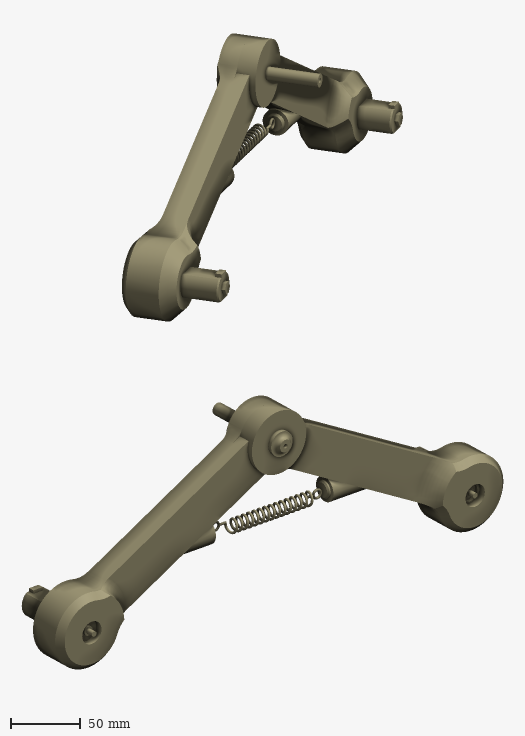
import cadquery as cq
import math

overall_length = 414.0
overall_height = 150.5
head_radius = 60.0 / 2
hub_radius = 50.0 / 2
half_span = overall_length / 2 - head_radius
pivot_drop = overall_height - hub_radius - head_radius
arm_length = math.hypot(half_span, pivot_drop)
arm_slope = math.degrees(math.atan2(pivot_drop, half_span))

arm_width = 34.8
arm_half_thickness = 10.0
hub_half_thickness = 15.0
head_half_thickness = 40.0 / 2
outline_fillet = 20.0
cove_radius = 10.0
wide_cove_radius = 20.0
outline_margin = 2.0
head_front_chamfer = 5.0
head_back_chamfer = 10.0

spring_drop = 60.0
anchor_diameter = 20.0
anchor_face_y = 54.2
anchor_root_y = 95.0
boss_diameter = 14.0
boss_length = 2.5
boss_chamfer = 1.2

shaft_diameter = 24.0
shaft_across_flats = 18.0
shaft_end_x = 46.5
shaft_end_chamfer = 1.0
shaft_shoulder_x = -5.0
neck_diameter = 14.0
recess_diameter = 18.0
recess_depth = 6.2
neck_end_x = -head_half_thickness + recess_depth
hex_diameter = 10.0
hex_length = 3.0
collar_diameter = 7.5
collar_length = 2.5
stub_diameter = 4.0
stub_end_x = -22.8
key_length = 5.0
key_width = 8.5
key_top_z = 11.5
near_shaft_shift = 2.5

pin_diameter = 10.0
pin_end_x = 55.0
pin_bore_diameter = 3.5
flange_diameter = 20.0
flange_thickness = 3.5
pin_head_height = 7.5

wire_diameter = 2.0
coil_radius = 5.0
coil_pitch = 5.0
coil_tops = 15
eye_radius = 3.5
eye_offset_z = 1.5
eye_gap = 0.5


def cylinder_x(diameter, x_start, x_end, y=0.0):
    """Round bar along X, centred at (y, z = 0)."""
    return cq.Workplane("YZ", origin=(x_start, y, 0)).circle(diameter / 2).extrude(x_end - x_start)


def outline_arc_center(round_radius):
    """Centre, seen from a round end, of the arc that blends it into the upper arm edge."""
    arc_center_z = arm_width / 2 + outline_fillet
    arc_center_y = math.sqrt((round_radius + outline_fillet) ** 2 - arc_center_z ** 2)
    return arc_center_y, arc_center_z


def plan_outline(center_y, toward, round_radius, web_end):
    """Outline in the YZ plane of a round end at center_y and the arm leaving it in direction `toward`.

    Arcs tangent to both lead from the round end into the arm edges; the arm is cut off at web_end.
    """
    half_width = arm_width / 2
    arc_center_y, arc_center_z = outline_arc_center(round_radius)
    reach = round_radius / (round_radius + outline_fillet)
    bend = math.atan2(arc_center_z, arc_center_y) / 2 + math.pi / 4
    mid_y = arc_center_y - outline_fillet * math.cos(bend)
    mid_z = arc_center_z - outline_fillet * math.sin(bend)

    def at(along, z):
        return (center_y + toward * along, z)

    return (
        cq.Workplane("YZ")
        .moveTo(*at(reach * arc_center_y, reach * arc_center_z))
        .threePointArc(at(mid_y, mid_z), at(arc_center_y, half_width))
        .lineTo(*at(web_end, half_width))
        .lineTo(*at(web_end, -half_width))
        .lineTo(*at(arc_center_y, -half_width))
        .threePointArc(at(mid_y, -mid_z), at(reach * arc_center_y, -reach * arc_center_z))
        .threePointArc(at(-round_radius, 0), at(reach * arc_center_y, reach * arc_center_z))
        .close()
    )


def cove_run(radius, step):
    """Distance along the arm covered by a cove tangent to the arm face and rising by step."""
    return math.sqrt(radius ** 2 - (radius - step) ** 2)


def cove_cutter(center_y, round_radius, face, half_thickness, radius, extent):
    """Ring that clears the arm face on the `face` side of X around a round end and leaves a cove."""
    step = half_thickness - arm_half_thickness
    run = cove_run(radius, step)
    half_turn = math.asin(run / radius) / 2
    cove_end = round_radius + run
    cove_mid_y = cove_end - radius * math.sin(half_turn)
    cove_mid_x = arm_half_thickness + radius * (1 - math.cos(half_turn))
    return (
        cq.Workplane("XY", origin=(0, center_y, 0))
        .moveTo(face * half_thickness, round_radius)
        .threePointArc((face * cove_mid_x, cove_mid_y), (face * arm_half_thickness, cove_end))
        .lineTo(face * arm_half_thickness, extent)
        .lineTo(face * half_thickness, extent)
        .close()
        .revolve(360, (0, 0, 0), (1, 0, 0))
    )


def make_head(front_cove_radius):
    """Chamfered round end that carries the shaft, with its blends into the arm."""
    cove_end = head_radius + cove_run(wide_cove_radius, head_half_thickness - arm_half_thickness)
    web_end = cove_end + head_back_chamfer + outline_margin
    head = plan_outline(arm_length, -1, head_radius, web_end).extrude(head_half_thickness, both=True)
    head = head.faces("<X").chamfer(head_front_chamfer)
    head = head.faces(">X").chamfer(head_back_chamfer)
    for face, radius in ((-1, front_cove_radius), (1, wide_cove_radius)):
        head = head.cut(
            cove_cutter(arm_length, head_radius, face, head_half_thickness, radius, 2 * web_end)
        )
    return head


def make_hub(hub_side):
    """Half of the pivot joint, with its blends into the arm."""
    arc_center_y = outline_arc_center(hub_radius)[0]
    web_end = arc_center_y + cove_radius + outline_margin
    hub = plan_outline(0, 1, hub_radius, web_end).extrude(hub_side * hub_half_thickness)
    return hub.cut(cove_cutter(0, hub_radius, hub_side, hub_half_thickness, cove_radius, 2 * web_end))


def spring_anchor():
    """Horizontal barrel with a small boss facing the spring, for the +Y arm."""
    barrel = (
        cq.Workplane("XZ", origin=(0, anchor_face_y, -spring_drop))
        .circle(anchor_diameter / 2)
        .extrude(anchor_face_y - anchor_root_y)
    )
    boss = (
        cq.Workplane("XZ", origin=(0, anchor_face_y, -spring_drop))
        .circle(boss_diameter / 2)
        .extrude(boss_length)
        .faces("<Y")
        .chamfer(boss_chamfer)
    )
    return barrel.union(boss)


def shaft_body(x_start, x_end):
    """Round bar along X with flats at its top and bottom."""
    flats = cq.Workplane("XY").box(2 * (x_end - x_start), shaft_diameter, shaft_across_flats)
    flats = flats.translate((x_start, 0, 0))
    return cylinder_x(shaft_diameter, x_start, x_end).intersect(flats)


def make_shaft():
    """Shaft along the X axis: neck and stub toward -X, keyed end with a hexagon toward +X."""
    blank = cylinder_x(shaft_diameter, shaft_shoulder_x, shaft_end_x).faces(">X").chamfer(shaft_end_chamfer)
    body = shaft_body(shaft_shoulder_x, shaft_end_x).intersect(blank)
    key_height = key_top_z - shaft_across_flats / 2
    key = (
        cq.Workplane("XY", origin=(shaft_end_x - key_length / 2, 0, shaft_across_flats / 2))
        .rect(key_length, key_width)
        .extrude(key_height)
    )
    neck = cylinder_x(neck_diameter, neck_end_x, shaft_shoulder_x)
    stub = cylinder_x(stub_diameter, stub_end_x, neck_end_x)
    shaft = body.union(key).union(neck).union(stub)
    hexagon = cq.Workplane("YZ", origin=(shaft_end_x, 0, 0)).polygon(6, hex_diameter).extrude(hex_length)
    collar = cylinder_x(collar_diameter, neck_end_x - collar_length, neck_end_x)
    return shaft.union(hexagon).union(collar)


def make_arm(side, hub_side, front_cove_radius, shaft_shift):
    """Arm toward side * Y whose hub fills the hub_side * X half of the pivot joint."""
    hub_start = min(0, hub_side * hub_half_thickness)
    hub_end = max(0, hub_side * hub_half_thickness)

    bar = cq.Workplane("XY").box(2 * arm_half_thickness, arm_length, arm_width)
    bar = bar.translate((0, arm_length / 2, 0))
    bar = bar.cut(cylinder_x(2 * hub_radius, -head_half_thickness, head_half_thickness))
    arm = bar.union(make_hub(hub_side)).union(make_head(front_cove_radius))
    arm = arm.rotate((0, 0, 0), (1, 0, 0), -arm_slope)
    arm = arm.union(spring_anchor())

    shoulder_x = shaft_shoulder_x + shaft_shift
    seat = shaft_body(shoulder_x, head_half_thickness)
    neck_hole = cylinder_x(neck_diameter, -head_half_thickness, shoulder_x)
    recess = cylinder_x(recess_diameter, -head_half_thickness, neck_end_x)
    head_hole = seat.union(neck_hole).union(recess).translate((0, half_span, -pivot_drop))
    arm = arm.cut(cylinder_x(pin_diameter, hub_start, hub_end)).cut(head_hole)
    return arm if side > 0 else arm.mirror("XZ")


def make_pivot_pin():
    """Hollow pin with a flange against the hub and a head that flares into the flange."""
    seat_x = -hub_half_thickness
    flange_x = seat_x - flange_thickness
    head_x = seat_x - pin_head_height
    flare = pin_head_height - flange_thickness
    pin_radius = pin_diameter / 2
    flare_mid = flare * (1 - math.sqrt(0.5))
    return (
        cq.Workplane("XY")
        .moveTo(head_x, pin_bore_diameter / 2)
        .lineTo(head_x, pin_radius)
        .threePointArc((flange_x - flare_mid, pin_radius + flare_mid), (flange_x, pin_radius + flare))
        .lineTo(flange_x, flange_diameter / 2)
        .lineTo(seat_x, flange_diameter / 2)
        .lineTo(seat_x, pin_radius)
        .lineTo(pin_end_x, pin_radius)
        .lineTo(pin_end_x, pin_bore_diameter / 2)
        .close()
        .revolve(360, (0, 0, 0), (1, 0, 0))
    )


def make_spring():
    """Tension spring along Y: a left-hand coil with a straight lead and a round eye at each end."""
    lead_angle = math.asin(eye_offset_z / coil_radius)
    turns = coil_tops + lead_angle / math.pi
    coil_length = turns * coil_pitch
    coil_axis_x = -coil_radius * math.cos(lead_angle)
    wire_radius = wire_diameter / 2

    helix = cq.Wire.makeHelix(coil_pitch, coil_length, coil_radius, lefthand=True)
    coil = cq.Workplane("XZ").center(coil_radius, 0).circle(wire_radius).sweep(helix, isFrenet=True)
    start_plane = cq.Plane(
        origin=(coil_axis_x, -coil_length / 2, -spring_drop),
        xDir=(math.cos(lead_angle), 0, -math.sin(lead_angle)),
        normal=(0, 1, 0),
    )
    spring = cq.Workplane(coil.val().moved(start_plane.location))

    eye_center_y = anchor_face_y - boss_length - eye_gap - eye_radius - wire_radius
    for side in (1, -1):
        wire_z = side * eye_offset_z - spring_drop
        coil_end = (0, side * coil_length / 2, wire_z)
        lead_length = eye_center_y - eye_radius - coil_length / 2
        lead = cq.Workplane("XZ", origin=coil_end).circle(wire_radius).extrude(-side * lead_length)
        elbow = cq.Workplane("XY", origin=coil_end).sphere(wire_radius)
        eye = cq.Solid.makeTorus(
            eye_radius, wire_radius, cq.Vector(0, side * eye_center_y, wire_z), cq.Vector(1, 0, 0)
        )
        spring = spring.union(elbow).union(lead).union(cq.Workplane(eye))
    return spring


far_arm = make_arm(1, 1, cove_radius, 0)
near_arm = make_arm(-1, -1, wide_cove_radius, near_shaft_shift)
pivot_pin = make_pivot_pin()
spring = make_spring()
shafts = [
    make_shaft().translate((shift, side * half_span, -pivot_drop))
    for side, shift in ((1, 0), (-1, near_shaft_shift))
]

result = cq.Compound.makeCompound(
    [body.solids().val() for body in (far_arm, near_arm, pivot_pin, spring, *shafts)]
)